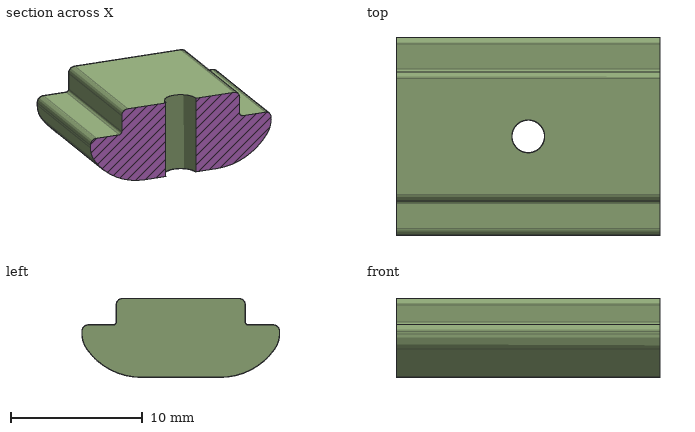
import cadquery as cq
import math

length = 20.0
width = 15.0
height = 6.0

neck_width = 9.8
ledge_height = 4.0
outer_corner_radius = 0.5
neck_root_radius = 0.2
hole_diameter = 2.46

bottom_flat_width = 6.0
belly_radius = 5.04
side_radius = 2.0

half_width = width / 2
half_neck = neck_width / 2
half_flat = bottom_flat_width / 2

side_center_y = half_width - side_radius
center_spacing = belly_radius - side_radius
centers_offset_y = side_center_y - half_flat
side_center_z = belly_radius - math.sqrt(center_spacing**2 - centers_offset_y**2)
blend_angle = -math.acos(centers_offset_y / center_spacing)


def point_on_arc(center_y, center_z, radius, angle):
    """Return the (y, z) point of a circle at an angle measured from +Y."""
    return (center_y + radius * math.cos(angle), center_z + radius * math.sin(angle))


def belly_point(angle):
    return point_on_arc(half_flat, belly_radius, belly_radius, angle)


def side_point(angle):
    return point_on_arc(side_center_y, side_center_z, side_radius, angle)


def make_half_body():
    """Extrude the +Y half of the cross-section, with its corners still sharp."""
    straight_down = -math.pi / 2
    return (
        cq.Workplane("YZ")
        .workplane(offset=-length / 2)
        .moveTo(0, 0)
        .lineTo(half_flat, 0)
        .threePointArc(belly_point((straight_down + blend_angle) / 2), belly_point(blend_angle))
        .threePointArc(side_point(blend_angle / 2), side_point(0))
        .lineTo(half_width, ledge_height)
        .lineTo(half_neck, ledge_height)
        .lineTo(half_neck, height)
        .lineTo(0, height)
        .close()
        .extrude(length)
    )


def round_long_edge(body, y, z, radius):
    """Fillet the lengthwise edge that runs through (y, z)."""
    edge = cq.selectors.NearestToPointSelector((0, y, z))
    return body.edges("|X").edges(edge).fillet(radius)


half_body = make_half_body()
half_body = round_long_edge(half_body, half_neck, height, outer_corner_radius)
half_body = round_long_edge(half_body, half_width, ledge_height, outer_corner_radius)
half_body = round_long_edge(half_body, half_neck, ledge_height, neck_root_radius)

body = half_body.union(half_body.mirror("XZ")).clean()

hole = cq.Workplane("XY").circle(hole_diameter / 2).extrude(height)
result = body.cut(hole)